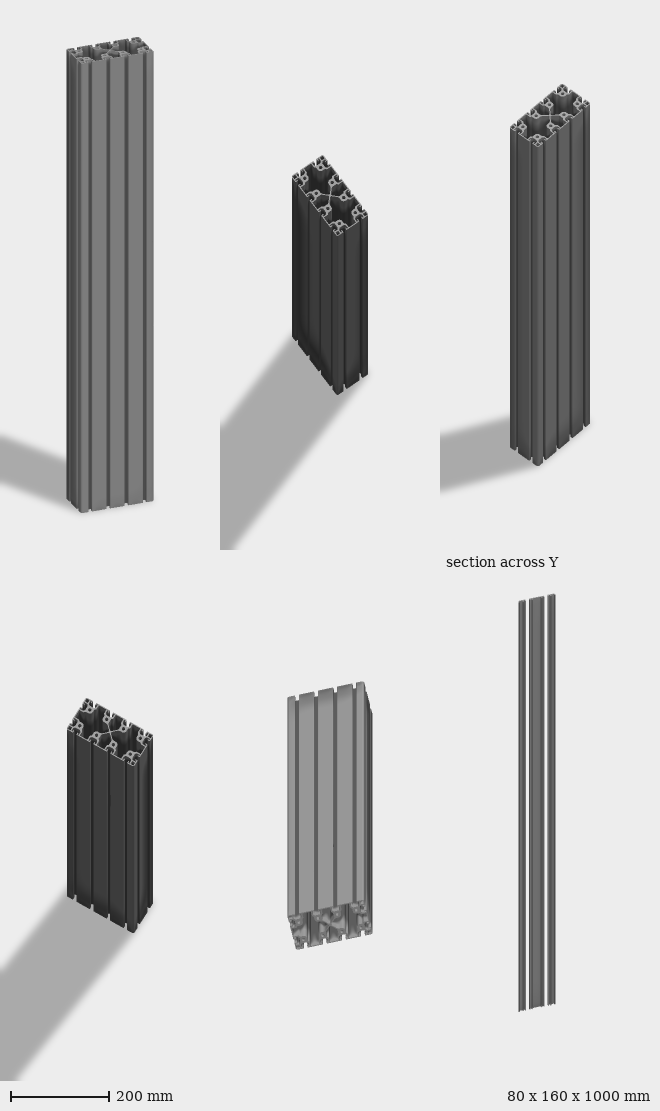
import math

import cadquery as cq

width = 80.0
depth = 160.0
length = 1000.0

cell = 40.0
corner_radius = 4.0
wall = 2.0

bore_diameter = 7.0
bore_wall = 4.3
core_size = bore_diameter + 2 * bore_wall
core_corner_radius = 7.0

slot_opening = 8.0
slot_edge_radius = 1.0
lip_thickness = 5.5
lip_root_thickness = wall
lip_ridge_width = 2.0
slot_depth = (cell - core_size) / 2
cavity_width = 17.0
cavity_straight_depth = 9.0

housing_width = 22.0
housing_straight_depth = 12.0

web_thickness = 2.0
web_crossing_radius = 3.0
web_root_radius = 10.0

housing_half = housing_width / 2
housing_flank_end = housing_straight_depth + housing_half - core_size / 2
cavity_floor_half = cavity_width / 2 - (slot_depth - cavity_straight_depth)

column_xs = [-cell / 2, cell / 2]
row_ys = [-1.5 * cell, -0.5 * cell, 0.5 * cell, 1.5 * cell]
core_points = [(x, y) for x in column_xs for y in row_ys]

pick_tolerance = 0.01

slots = []
for x in column_xs:
    slots.append((x, depth / 2, 0))
    slots.append((x, -depth / 2, 180))
for y in row_ys:
    slots.append((width / 2, y, -90))
    slots.append((-width / 2, y, 90))


def place_at_slot(body, x, y, angle):
    return body.rotate((0, 0, 0), (0, 0, 1), angle).translate((x, y, 0))


def outer_wall():
    block = cq.Workplane("XY").rect(width, depth).extrude(length).edges("|Z").fillet(corner_radius)
    inside = cq.Workplane("XY").rect(width - 2 * wall, depth - 2 * wall).extrude(length)
    return block.cut(inside)


def slot_housing():
    """Solid around a slot, mouth face on Y = 0, narrowing at depth to the width of the core."""
    outline = [
        (-housing_half, 0),
        (housing_half, 0),
        (housing_half, -housing_straight_depth),
        (core_size / 2, -housing_flank_end),
        (-core_size / 2, -housing_flank_end),
        (-housing_half, -housing_straight_depth),
    ]
    return cq.Workplane("XY").polyline(outline).close().extrude(length)


def slot_space():
    """Empty space of a T-slot: mouth with rounded edges, ridged lips, cavity with 45 degree flanks."""
    half_mouth = slot_opening / 2
    half_cavity = cavity_width / 2
    half_ridge = half_mouth + lip_ridge_width
    half_flare = half_mouth + slot_edge_radius
    return (
        cq.Workplane("XY")
        .moveTo(-half_flare, 0)
        .lineTo(half_flare, 0)
        .radiusArc((half_mouth, -slot_edge_radius), -slot_edge_radius)
        .lineTo(half_mouth, -lip_thickness)
        .lineTo(half_ridge, -lip_thickness)
        .lineTo(half_ridge, -lip_root_thickness)
        .lineTo(half_cavity, -lip_root_thickness)
        .lineTo(half_cavity, -cavity_straight_depth)
        .lineTo(cavity_floor_half, -slot_depth)
        .lineTo(-cavity_floor_half, -slot_depth)
        .lineTo(-half_cavity, -cavity_straight_depth)
        .lineTo(-half_cavity, -lip_root_thickness)
        .lineTo(-half_ridge, -lip_root_thickness)
        .lineTo(-half_ridge, -lip_thickness)
        .lineTo(-half_mouth, -lip_thickness)
        .lineTo(-half_mouth, -slot_edge_radius)
        .radiusArc((-half_flare, 0), -slot_edge_radius)
        .close()
        .extrude(length)
    )


def vertical_edges_at(body, points):
    """Vertical edges of the body that pass through the given XY points."""

    def passes(edge):
        middle = edge.Center()
        return any(math.hypot(middle.x - x, middle.y - y) < pick_tolerance for x, y in points)

    return body.edges("|Z").filter(passes)


def cores():
    """Square cores; the corner of each that faces the middle of a large chamber is rounded."""
    blocks = cq.Workplane("XY").pushPoints(core_points).rect(core_size, core_size).extrude(length)
    corner_x = cell / 2 - core_size / 2
    corner_ys = [side * cell + offset for side in (-1, 1) for offset in (-corner_x, corner_x)]
    corners = [(x, y) for x in (-corner_x, corner_x) for y in corner_ys]
    return vertical_edges_at(blocks, corners).fillet(core_corner_radius)


def cores_and_webs():
    """All cores, with rounded diagonal webs that tie the four inner ones together."""
    web_length = cell * 2**0.5
    webs = cq.Workplane("XY").rect(web_length, web_thickness).extrude(length)
    webs = webs.union(cq.Workplane("XY").rect(web_thickness, web_length).extrude(length))
    webs = webs.rotate((0, 0, 0), (0, 0, 1), 45)

    crossing = web_thickness / 2**0.5
    crossing_points = [(crossing, 0), (-crossing, 0), (0, crossing), (0, -crossing)]
    webs = vertical_edges_at(webs, crossing_points).fillet(web_crossing_radius)

    joined = webs.union(cores())

    root_x = cell / 2 - core_size / 2
    root_y = root_x + crossing
    root_points = [(x, y) for x in (-root_x, root_x) for y in (-root_y, root_y)]
    return vertical_edges_at(joined, root_points).fillet(web_root_radius)


profile = outer_wall()
for slot in slots:
    profile = profile.union(place_at_slot(slot_housing(), *slot))
profile = profile.union(cores_and_webs())
for slot in slots:
    profile = profile.cut(place_at_slot(slot_space(), *slot))
bores = cq.Workplane("XY").pushPoints(core_points).circle(bore_diameter / 2).extrude(length)

result = profile.cut(bores)